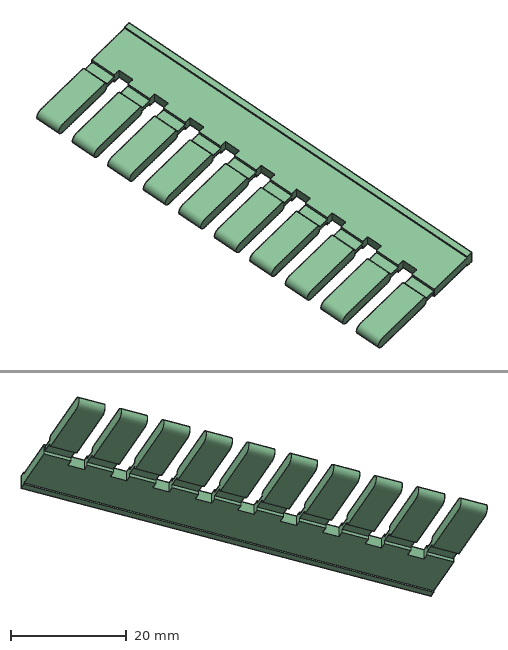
import cadquery as cq

bar_length = 77.2
total_depth = 25.2
rail_thickness = 2.7

rail_depth = 1.2
slot_bottom = 8.8
web_front = 10.1
finger_back = 12.2

web_thickness = 2.1
neck_thickness = 0.85
finger_thickness = 2.4

finger_rise = 0.055

end_margin = 0.14
finger_count = 10
finger_width = 4.95
finger_back_fillet = 0.7
finger_pitch = (bar_length - 2 * end_margin - finger_width) / (finger_count - 1)


def slab(x_start, width, y_back, y_front, thickness):
    """Flat block centred on the mid-plane; Y distances run forward from the back edge."""
    depth = y_front - y_back
    return (
        cq.Workplane("XY")
        .box(width, depth, thickness, centered=(False, False, True))
        .translate((x_start, -y_front, 0))
    )


def make_bar():
    """Web with a thicker rail along its back edge."""
    web = slab(0, bar_length, 0, web_front, web_thickness)
    rail = slab(0, bar_length, 0, rail_depth, rail_thickness)
    return web.union(rail)


def make_finger(x_start):
    """Finger with rounded back edges, a full-round tip and a thin neck to the web."""
    tip_radius = finger_thickness / 2
    blade = slab(x_start, finger_width, finger_back, total_depth - tip_radius, finger_thickness)
    blade = blade.faces(">Y").edges("|X").fillet(finger_back_fillet)
    tip = (
        cq.Workplane("YZ")
        .center(tip_radius - total_depth, 0)
        .circle(tip_radius)
        .extrude(finger_width)
        .translate((x_start, 0, 0))
    )
    neck = slab(x_start, finger_width, slot_bottom, finger_back + finger_back_fillet, neck_thickness)
    return blade.union(tip).union(neck).translate((0, 0, finger_rise))


def make_slot(x_start):
    """Gap between two neighbouring fingers, cut into the front of the web."""
    return slab(x_start, finger_pitch - finger_width, slot_bottom, total_depth, rail_thickness)


result = make_bar()
for index in range(finger_count):
    result = result.union(make_finger(end_margin + index * finger_pitch))
for index in range(finger_count - 1):
    result = result.cut(make_slot(end_margin + index * finger_pitch + finger_width))